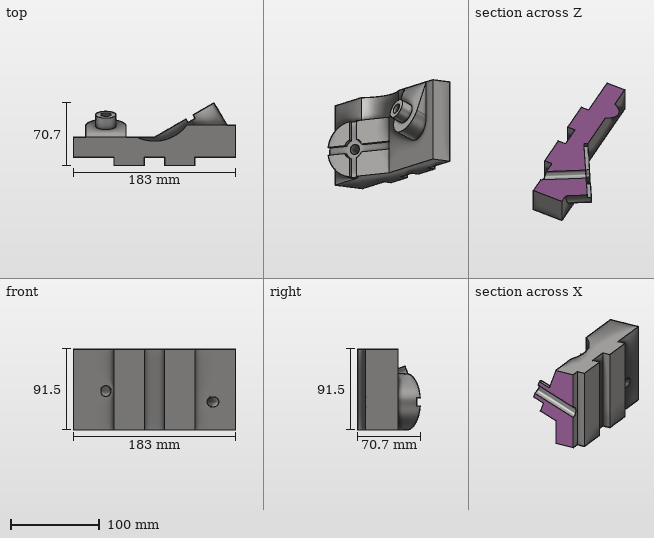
import cadquery as cq
import math

length = 182.99
width = length / 2
pad_height = 9.15
pad_width = 34.31
pad_gap = 22.87
low_thickness = 22.87
step_height = 13.72
low_top = pad_height + low_thickness
high_top = low_top + step_height

hole_diameter = 11.44

collar_tilt = 20
collar_boss_x = 36.6
collar_boss_radius = 22.87
collar_boss_reach = 36.6
collar_diameter = 2 * hole_diameter
collar_height = 13.72

slot_tilt = 30
slot_boss_start_x = length / 2
slot_boss_radius = 32.02
slot_boss_reach = 45.75
slot_width = 9.15
slot_depth = 4.575
recess_diameter = 2 * hole_diameter

relief_radius = 45.75
relief_depth = 4.575
relief_start_z = 2 * slot_boss_radius


def make_plate():
    """Stepped plate with a ramp up to the thick end and two pads underneath."""
    ramp_end_x = slot_boss_start_x + step_height / math.tan(math.radians(slot_tilt))
    plate = (
        cq.Workplane("XY")
        .moveTo(0, pad_height)
        .lineTo(length, pad_height)
        .lineTo(length, high_top)
        .lineTo(ramp_end_x, high_top)
        .lineTo(slot_boss_start_x, low_top)
        .lineTo(0, low_top)
        .close()
        .extrude(width)
    )
    pad_offset = (pad_gap + pad_width) / 2
    for side in (-1, 1):
        pad_left = length / 2 + side * pad_offset - pad_width / 2
        pad = cq.Workplane("XY").box(pad_width, pad_height, width, centered=False)
        plate = plate.union(pad.translate((pad_left, 0, 0)))
    return plate


def make_relief():
    """Cylinder that hollows the plate between the slotted boss and the +Z side."""
    return (
        cq.Workplane("XY", origin=(0, 0, relief_start_z))
        .center(slot_boss_start_x, low_top - relief_depth + relief_radius)
        .circle(relief_radius)
        .extrude(width - relief_start_z)
    )


def make_boss(plane, radius, reach, depth):
    """Round-ended boss lying behind the plane, from its origin along its local Y."""
    return (
        cq.Workplane(plane)
        .moveTo(-radius, 0)
        .lineTo(radius, 0)
        .lineTo(radius, reach)
        .threePointArc((0, reach + radius), (-radius, reach))
        .close()
        .extrude(-depth)
    )


def make_hole(plane, reach):
    """Drill through the whole part, square to the plane at the boss centre."""
    return (
        cq.Workplane(plane)
        .center(0, reach)
        .circle(hole_diameter / 2)
        .extrude(length, both=True)
    )


def add_collar_boss(part):
    tilt = math.radians(collar_tilt)
    plane = cq.Plane(
        origin=(collar_boss_x, low_top, width),
        xDir=(1, 0, 0),
        normal=(0, math.cos(tilt), math.sin(tilt)),
    )
    depth = (collar_boss_reach + collar_boss_radius) * math.tan(tilt)
    boss = make_boss(plane, collar_boss_radius, collar_boss_reach, depth)
    collar = (
        cq.Workplane(plane)
        .center(0, collar_boss_reach)
        .circle(collar_diameter / 2)
        .extrude(collar_height)
    )
    return part.union(boss).union(collar).cut(make_hole(plane, collar_boss_reach))


def add_slot_boss(part):
    tilt = math.radians(slot_tilt)
    plane = cq.Plane(
        origin=(slot_boss_start_x, low_top, slot_boss_radius),
        xDir=(0, 0, 1),
        normal=(-math.sin(tilt), math.cos(tilt), 0),
    )
    boss_length = slot_boss_reach + slot_boss_radius
    depth = (boss_length * math.sin(tilt) - step_height) / math.cos(tilt)
    boss = make_boss(plane, slot_boss_radius, slot_boss_reach, depth)
    long_slot = (
        cq.Workplane(plane)
        .center(0, boss_length / 2)
        .rect(slot_width, boss_length)
        .extrude(-slot_depth)
    )
    cross_slot = (
        cq.Workplane(plane)
        .center(0, slot_boss_reach)
        .rect(2 * slot_boss_radius, slot_width)
        .extrude(-slot_depth)
    )
    recess = (
        cq.Workplane(plane)
        .center(0, slot_boss_reach)
        .circle(recess_diameter / 2)
        .extrude(-slot_depth)
    )
    part = part.union(boss)
    for cutter in (long_slot, cross_slot, recess, make_hole(plane, slot_boss_reach)):
        part = part.cut(cutter)
    return part


plate = make_plate().cut(make_relief())
result = add_slot_boss(add_collar_boss(plate))